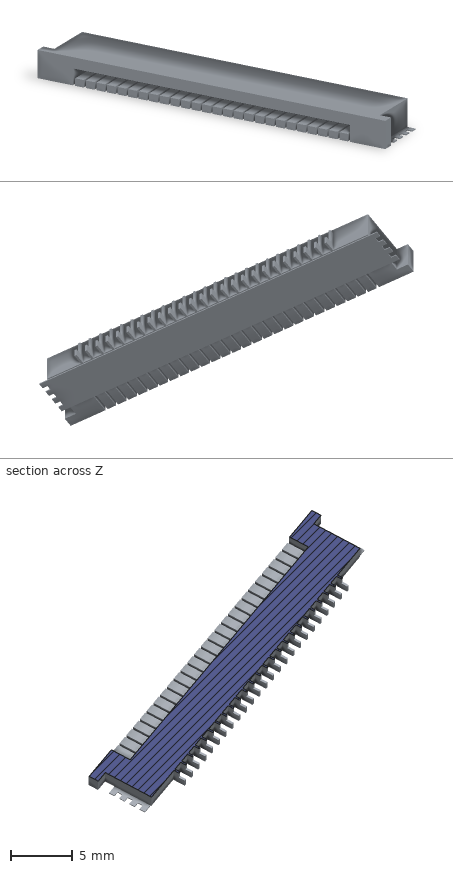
import cadquery as cq

length = 32.92
depth = 6.55
height = 2.57
front_y = -depth / 2
pin_tip_y = depth / 2

plate_thickness = 0.1
flange_depth = 0.92
housing_length = 30.8
pin_reach = 1.1
housing_back_y = pin_tip_y - pin_reach

contact_count = 25
contact_row_length = 24.0
contact_pitch = contact_row_length / (contact_count - 1)
contact_width = 0.2
pin_foot_height = 0.7
pin_shoulder_height = 2.07
pin_shoulder_reach = 0.5

tab_end_x = 16.2
tab_root_x = 15.75
tab_count = 4
tab_width = 0.53
tab_pitch = contact_pitch
plate_back_inset = 0.1
plate_back_y = housing_back_y - plate_back_inset
plate_front_y = plate_back_y - (tab_count - 1) * tab_pitch - tab_width

slot_length = 26.27
slot_top = 1.58
tooth_count = contact_count + 1
tooth_width = contact_pitch - contact_width
tooth_top = 0.75


def block(x_start, x_end, y_start, y_end, z_start, z_end):
    """Box between two opposite corners."""
    size = (x_end - x_start, y_end - y_start, z_end - z_start)
    return cq.Workplane("XY").box(*size, centered=False).translate((x_start, y_start, z_start))


def centered_block(x_center, width, y_start, y_end, z_start, z_end):
    """Box centred on a given X position."""
    return block(x_center - width / 2, x_center + width / 2, y_start, y_end, z_start, z_end)


def row_positions(count, pitch):
    """X positions of an evenly spaced row centred on the part."""
    return [(i - (count - 1) / 2) * pitch for i in range(count)]


def make_housing():
    flange = centered_block(0, length, front_y, front_y + flange_depth, plate_thickness, height)
    body = centered_block(0, housing_length, front_y, housing_back_y, plate_thickness, height)
    return flange.union(body)


def cut_slot(housing):
    """Open the front slot downwards; its back wall lines up with the solder plate."""
    slot = centered_block(0, slot_length, front_y, plate_front_y, plate_thickness, slot_top)
    return housing.cut(slot)


def add_teeth(housing):
    """Teeth stand in the slot, flush with the front face."""
    teeth = cq.Workplane("XY")
    for x in row_positions(tooth_count, contact_pitch):
        teeth.add(centered_block(x, tooth_width, front_y, plate_front_y, plate_thickness, tooth_top))
    return housing.union(teeth.combine())


def make_solder_plate():
    plate = centered_block(0, 2 * tab_root_x, plate_front_y, plate_back_y, 0, plate_thickness)
    for i in range(tab_count):
        tab_y = plate_front_y + i * tab_pitch
        tab_pair = centered_block(0, 2 * tab_end_x, tab_y, tab_y + tab_width, 0, plate_thickness)
        plate = plate.union(tab_pair)
    return plate


def make_pin(x):
    """L-shaped pin: a tall shoulder against the housing and a low foot behind it."""
    shoulder_back_y = housing_back_y + pin_shoulder_reach
    foot = centered_block(x, contact_width, housing_back_y, pin_tip_y, 0, pin_foot_height)
    shoulder = centered_block(
        x, contact_width, housing_back_y, shoulder_back_y, plate_thickness, pin_shoulder_height
    )
    return foot.union(shoulder)


def add_pins(part):
    pins = cq.Workplane("XY")
    for x in row_positions(contact_count, contact_pitch):
        pins.add(make_pin(x))
    return part.union(pins.combine())


connector = add_teeth(cut_slot(make_housing()))
connector = connector.union(make_solder_plate())
result = add_pins(connector)